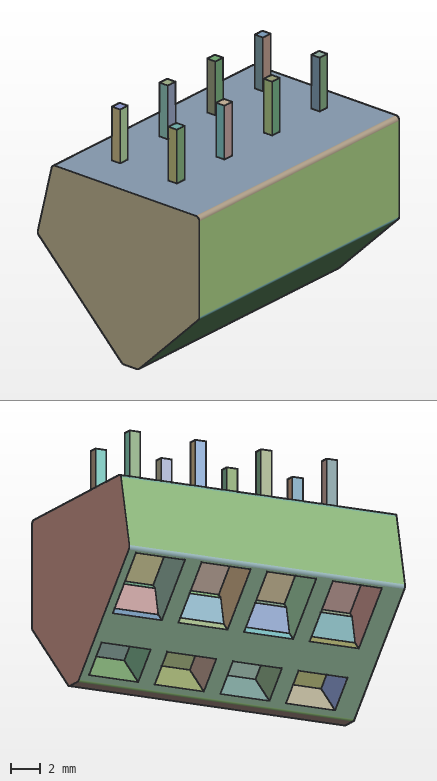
import cadquery as cq
import math


housing_length = 21.0
housing_width = 14.3
housing_height = 13.0
left_corner_height = 7.52
right_corner_height = 5.4
left_wall_tilt = 13.5
edge_radius = 0.32

way_count = 4
way_pitch = 5.0
first_way_y = 3.53

pin_size_x = 0.74
pin_size_y = 0.82
pin_height = 4.01
first_pin_x = 4.33
pin_rows = 2

pocket_width = 3.74
pocket_depth = 2.88
wire_opening_bottom = 3.88
wire_opening_top = 7.27
test_opening_bottom = 0.42
test_opening_top = 2.25
ramp_start_depth = 0.75
ramp_end_depth = 2.45
ramp_angle = 32.0

way_centres = [first_way_y + i * way_pitch for i in range(way_count)]
half_root = math.sqrt(0.5)


def make_housing():
    """Five-sided section with a flattened tip, extruded along Y with rounded long edges."""
    left_wall_run = (housing_height - left_corner_height) * math.tan(math.radians(left_wall_tilt))
    outline = [
        (0, left_corner_height),
        (left_corner_height, 0),
        (housing_width - right_corner_height, 0),
        (housing_width, right_corner_height),
        (housing_width, housing_height),
        (left_wall_run, housing_height),
    ]
    block = cq.Workplane("XZ").polyline(outline).close().extrude(-housing_length)
    return block.edges("|Y").fillet(edge_radius)


def slope_point(height, depth):
    """XZ point reached by going 'depth' square into the 45 degree face at 'height'."""
    inward = depth * half_root
    return (left_corner_height - height + inward, height + inward)


def make_pocket(section, centre_y):
    """Prism of the given XZ section, centred on one way."""
    start = cq.Workplane("XZ", origin=(0, centre_y - pocket_width / 2, 0))
    return start.polyline(section).close().extrude(-pocket_width)


def wire_section():
    """Pocket whose lower wall ramps in towards a narrower end."""
    ramp_rise = (ramp_end_depth - ramp_start_depth) * math.tan(math.radians(ramp_angle))
    narrow_bottom = wire_opening_bottom + ramp_rise * half_root
    return [
        slope_point(wire_opening_bottom, 0),
        slope_point(wire_opening_bottom, ramp_start_depth),
        slope_point(narrow_bottom, ramp_end_depth),
        slope_point(narrow_bottom, pocket_depth),
        slope_point(wire_opening_top, pocket_depth),
        slope_point(wire_opening_top, 0),
    ]


def test_section():
    """Plain rectangular pocket near the tip of the housing."""
    return [
        slope_point(test_opening_bottom, 0),
        slope_point(test_opening_bottom, pocket_depth),
        slope_point(test_opening_top, pocket_depth),
        slope_point(test_opening_top, 0),
    ]


def make_pin(centre_x, centre_y):
    """Rectangular solder pin standing on the top face."""
    base = cq.Workplane("XY", origin=(centre_x, centre_y, housing_height))
    return base.rect(pin_size_x, pin_size_y).extrude(pin_height)


result = make_housing()
for way_y in way_centres:
    result = result.cut(make_pocket(wire_section(), way_y))
    result = result.cut(make_pocket(test_section(), way_y))
    for row in range(pin_rows):
        result = result.union(make_pin(first_pin_x + row * way_pitch, way_y))